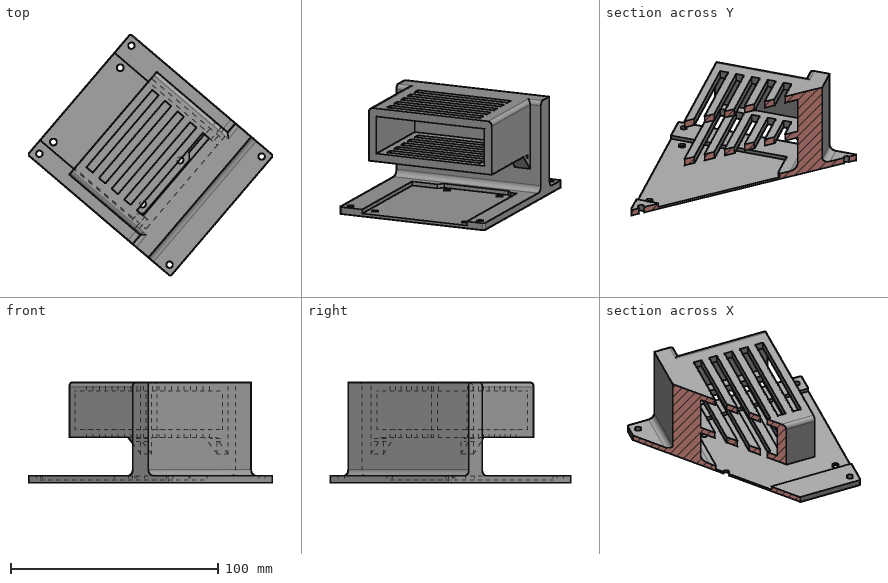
import cadquery as cq
import math

turn_angle = -40.42
plate_length = 90.5
plate_width = 76.5
plate_thickness = 3.5
plate_corner_radius = 1.0
plate_hole_diameter = 3.0
plate_hole_inset = 4.0

total_height = 48.5
wall_front = 66.5
wall_thickness = 10.0
wall_back = wall_front + wall_thickness
wall_foot_radius = 3.0

box_length = 45.0
box_width = 65.0
box_height = 26.5
box_wall = 4.0
box_front = wall_front - box_length
box_bottom = total_height - box_height
cavity_width = box_width - 2 * box_wall
cavity_bottom = box_bottom + box_wall
cavity_top = total_height - box_wall
top_edge_radius = 2.1
selection_margin = 1.0

slot_count = 5
slot_width = box_wall
slot_pitch = 2 * slot_width
slot_length = cavity_width - 2 * box_wall
first_slot_centre = box_front + box_wall + slot_width / 2

gusset_leg = 7.8
gusset_width = 8.0
gusset_opening_leg = 1.6
gusset_opening_offset = 2.6
gusset_opening_drop = 0.35

board_length = 68.58
board_width = 53.34
board_end_step = 2.54
board_lower_step_start = 2.54
board_upper_step_start = 40.64
board_origin_x = -8.5
board_origin_y = -28.04
board_clearance = 1.0
board_hole_diameter = 3.17
board_holes = [(14.0, 2.5), (15.3, 50.7), (66.1, 7.6), (66.1, 35.5)]
recess_depth = 2.0


def block(x_start, x_end, width, z_start, z_end):
    """A block centred on the XZ plane."""
    middle_x = (x_start + x_end) / 2
    footprint = cq.Workplane("XY", origin=(middle_x, 0, z_start)).rect(x_end - x_start, width)
    return footprint.extrude(z_end - z_start)


def make_plate():
    """Plate with rounded corners and a screw hole in each corner."""
    plate = block(0, plate_length, plate_width, 0, plate_thickness)
    plate = plate.edges("|Z").fillet(plate_corner_radius)
    hole_spacing_x = plate_length - 2 * plate_hole_inset
    hole_spacing_y = plate_width - 2 * plate_hole_inset
    holes = (
        cq.Workplane("XY", origin=(plate_length / 2, 0, 0))
        .rarray(hole_spacing_x, hole_spacing_y, 2, 2)
        .circle(plate_hole_diameter / 2)
        .extrude(plate_thickness)
    )
    return plate.cut(holes)


def make_board_recess():
    """The board outline grown by the clearance, open at the plate's front edge, with the screw holes."""
    diagonal_shift = board_clearance * math.tan(math.pi / 8)
    end_x = board_length + board_clearance
    step_x = end_x - board_end_step
    bottom_y = -board_clearance
    top_y = board_width + board_clearance
    lower_y = board_lower_step_start - diagonal_shift
    upper_y = board_upper_step_start + diagonal_shift
    outline = [
        (0, bottom_y),
        (step_x, bottom_y),
        (step_x, lower_y),
        (end_x, lower_y + board_end_step),
        (end_x, upper_y - board_end_step),
        (step_x, upper_y),
        (step_x, top_y),
        (0, top_y),
    ]
    recess_floor = plate_thickness - recess_depth
    recess = cq.Workplane("XY").workplane(offset=recess_floor).polyline(outline).close().extrude(recess_depth)
    holes = cq.Workplane("XY").pushPoints(board_holes).circle(board_hole_diameter / 2).extrude(plate_thickness)
    return recess.union(holes).translate((board_origin_x, board_origin_y, 0))


def make_wall_foot_fillet(face_x, direction):
    """Concave strip along the foot of the wall; direction is the side it spreads to."""
    reach = direction * wall_foot_radius
    arc_shift = wall_foot_radius * (1 - math.sqrt(0.5))
    return (
        cq.Workplane("XZ", origin=(face_x, plate_width / 2, plate_thickness))
        .lineTo(reach, 0)
        .threePointArc((direction * arc_shift, arc_shift), (0, wall_foot_radius))
        .close()
        .extrude(plate_width)
    )


def edges_near(x_start, x_end):
    """Selector for top edges whose centres lie between two X positions."""
    low_corner = (x_start - selection_margin, -plate_width, total_height - selection_margin)
    high_corner = (x_end + selection_margin, plate_width, total_height + selection_margin)
    return cq.selectors.BoxSelector(low_corner, high_corner)


def make_wall_and_box():
    """Wall and solid box, with the box's long top edges and the wall's top edges beside it rounded."""
    wall = block(wall_front, wall_back, plate_width, 0, total_height)
    box = block(box_front, wall_front, box_width, box_bottom, total_height)
    body = wall.union(box)
    side_edges = body.faces(">Z").edges("|X").edges(edges_near(box_front, wall_front))
    wall_edges = body.faces(">Z").edges("|Y").edges(edges_near(wall_front, wall_front))
    body = body.newObject(side_edges.vals() + wall_edges.vals()).fillet(top_edge_radius)
    for face_x, direction in ((wall_front, -1), (wall_back, 1)):
        body = body.union(make_wall_foot_fillet(face_x, direction))
    return body


def make_gusset_prism(offset, drop, leg, y_back):
    """Right triangular prism under the box, set off from the wall and dropped below the box floor."""
    return (
        cq.Workplane("XZ", origin=(wall_front - offset, y_back, box_bottom - drop))
        .polyline([(0, 0), (-leg, 0), (0, -leg)])
        .close()
        .extrude(gusset_width)
    )


def make_gusset(y_back):
    """Pierced gusset that reaches from y_back toward -Y."""
    gusset = make_gusset_prism(0, 0, gusset_leg, y_back)
    opening = make_gusset_prism(gusset_opening_offset, gusset_opening_drop, gusset_opening_leg, y_back)
    return gusset.cut(opening)


def make_slots():
    """Row of straight cutters through the whole height of the box."""
    centres = [(first_slot_centre + i * slot_pitch, 0) for i in range(slot_count)]
    return (
        cq.Workplane("XY", origin=(0, 0, box_bottom))
        .pushPoints(centres)
        .rect(slot_width, slot_length)
        .extrude(box_height)
    )


part = make_plate().union(make_wall_and_box())
for gusset_back in (box_width / 2, gusset_width - box_width / 2):
    part = part.union(make_gusset(gusset_back))
part = part.cut(block(box_front, wall_front, cavity_width, cavity_bottom, cavity_top))
part = part.cut(make_slots())
part = part.cut(make_board_recess())

result = part.translate((-plate_length / 2, 0, 0)).rotate((0, 0, 0), (0, 0, 1), turn_angle)